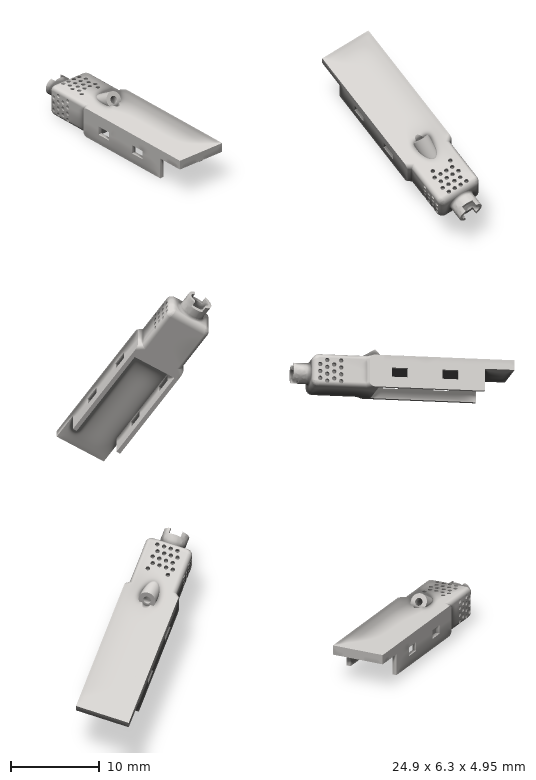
import cadquery as cq
import math

length = 24.9
width = 6.3
body_height = 3.65
tube_tip_z = 4.95

nose_front_x = 1.95
nose_width = 5.48
shoulder_run = 0.32
left_shoulder_x = 7.7
right_shoulder_x = 8.05
housing_end_x = 21.51
plate_thickness = 1.12
plate_bottom_z = body_height - plate_thickness
front_round = 0.75
long_edge_round = 0.5

cavity_front_x = 9.45
wall = 0.5
window_starts = (10.9, 16.68)
window_length = 1.82
window_bottom_z = 1.2
window_height = 1.05

nozzle_z = 1.9
nozzle_half_width = 1.5
nozzle_half_height = 1.17
nozzle_root_round = 0.22
bore_half_width = 1.17
bore_half_height = 0.7
bore_end_x = 3.0
channel_bottom_z = 1.35
slot_width = 1.42
slot_depth = 0.7

tube_angle = 30.0
tube_diameter = 2.0
tube_bore_diameter = 0.9
tube_tip_x = 9.44
relief_diameter = 1.0
relief_x = 9.84
relief_length = 2.5

dimple_diameter = 0.5
dimple_depth = 0.5
dimple_pitch = 0.8
first_dimple_x = 2.8
top_even_y = -1.32
top_odd_y = -1.02
side_even_z = 0.82
side_odd_z = 0.52


def box(x0, x1, y0, y1, z0, z1):
    return cq.Workplane("XY").box(x1 - x0, y1 - y0, z1 - z0, centered=False).translate((x0, y0, z0))


def body_blank():
    half, nose_half = width / 2, nose_width / 2
    outline = [
        (nose_front_x, -nose_half),
        (right_shoulder_x, -nose_half),
        (right_shoulder_x + shoulder_run, -half),
        (length, -half),
        (length, half),
        (left_shoulder_x + shoulder_run, half),
        (left_shoulder_x, nose_half),
        (nose_front_x, nose_half),
    ]
    blank = cq.Workplane("XY").polyline(outline).close().extrude(body_height)
    below_plate = box(housing_end_x, length, -half, half, 0, plate_bottom_z)
    blank = blank.cut(below_plate)
    margin = 0.12
    shoulder_end_x = right_shoulder_x + shoulder_run
    rim = cq.selectors.BoxSelector(
        (nose_front_x + margin, -width, -margin),
        (shoulder_end_x, width, body_height + margin),
    )
    upright = cq.selectors.ParallelDirSelector(cq.Vector(0, 0, 1))
    across = cq.selectors.ParallelDirSelector(cq.Vector(0, 1, 0))
    blank = blank.edges(rim - upright - across).fillet(long_edge_round)
    return blank.faces("<X").edges().fillet(front_round)


def elliptic_bar(half_width, half_height, end_x):
    return (
        cq.Workplane("YZ").center(0, nozzle_z).ellipse(half_width, half_height).extrude(end_x)
    )


def add_nozzle(part):
    joined = part.union(elliptic_bar(nozzle_half_width, nozzle_half_height, bore_end_x))
    margin = 0.12
    reach_y = nozzle_half_width + margin
    reach_z = nozzle_half_height + margin
    root = cq.selectors.BoxSelector(
        (nose_front_x - margin, -reach_y, nozzle_z - reach_z),
        (nose_front_x + margin, reach_y, nozzle_z + reach_z),
    )
    return joined.edges(root).fillet(nozzle_root_round)


def inclined_rod(start, diameter, rod_length):
    angle = math.radians(tube_angle)
    axis = cq.Vector(math.cos(angle), 0, math.sin(angle))
    return cq.Workplane(obj=cq.Solid.makeCylinder(diameter / 2, rod_length, start, axis))


def add_guide_tube(part):
    angle = math.radians(tube_angle)
    sine, cosine = math.sin(angle), math.cos(angle)
    radius = tube_diameter / 2
    end_x = tube_tip_x + radius * sine
    end_z = tube_tip_z - radius * cosine
    end = cq.Vector(end_x, 0, end_z)
    axis = cq.Vector(cosine, 0, sine)
    bore_length = (end_z - nozzle_z) / sine
    tube_length = bore_length - radius
    relief_offset = cq.Vector(relief_x, 0, body_height) - end
    relief_start = cq.Vector(relief_x, 0, body_height) - axis * relief_offset.dot(axis)
    part = part.cut(inclined_rod(relief_start, relief_diameter, relief_length))
    tube_start = end - axis * tube_length
    part = part.union(inclined_rod(tube_start, tube_diameter, tube_length))
    return part.cut(inclined_rod(end - axis * bore_length, tube_bore_diameter, bore_length))


def hollow_out(part):
    side = width / 2 - wall
    cavity = box(cavity_front_x, housing_end_x, -side, side, 0, plate_bottom_z)
    channel = box(
        bore_end_x, cavity_front_x, -bore_half_width, bore_half_width, channel_bottom_z, plate_bottom_z
    )
    bore = elliptic_bar(bore_half_width, bore_half_height, bore_end_x)
    tip_slot = box(0, slot_depth, -slot_width / 2, slot_width / 2, 0, body_height)
    part = part.cut(cavity).cut(channel).cut(bore).cut(tip_slot)
    for start in window_starts:
        window = box(
            start, start + window_length, -width, width, window_bottom_z, window_bottom_z + window_height
        )
        part = part.cut(window)
    return part


def dimple_grid(columns):
    """Centres for columns given as (lowest place, steps above it that hold a dimple)."""
    return [
        (first_dimple_x + column * dimple_pitch, lowest + step * dimple_pitch)
        for column, (lowest, steps) in enumerate(columns)
        for step in steps
    ]


def add_dimples(part):
    four, three, ends = range(4), range(3), (0, 3)
    top = dimple_grid(
        [(top_even_y, four), (top_odd_y, four), (top_even_y, four), (top_odd_y, four), (top_even_y, ends)]
    )
    side = dimple_grid([(side_even_z, three), (side_odd_z, four), (side_even_z, three), (side_odd_z, four)])
    radius = dimple_diameter / 2
    top_pins = (
        cq.Workplane("XY", origin=(0, 0, body_height - dimple_depth))
        .pushPoints(top).circle(radius).extrude(dimple_depth)
    )
    side_pins = (
        cq.Workplane("XZ", origin=(0, dimple_depth - nose_width / 2, 0))
        .pushPoints(side).circle(radius).extrude(dimple_depth)
    )
    return part.cut(top_pins).cut(side_pins).cut(side_pins.mirror("XZ"))


result = add_nozzle(body_blank())
result = add_guide_tube(result)
result = hollow_out(result)
result = add_dimples(result)